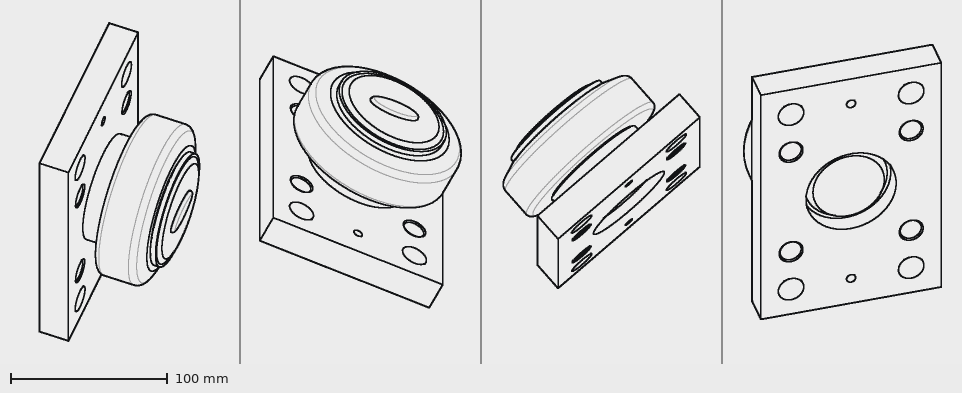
import cadquery as cq
import math

plate_thickness = 20.0
plate_width = 120.0
plate_height = 180.0

hole_y = 40.0
outer_hole_z = 70.0
inner_hole_z = 40.0
outer_hole_diameter = 17.0
tapped_hole_diameter = 14.0
tapped_hole_chamfer = 0.9
pin_hole_diameter = 6.0

bore_diameter = 60.0
bore_depth = 12.0
pin_diameter = 55.0
pin_chamfer_radial = 3.8
pin_chamfer_axial = 6.5
pin_face_depth = 5.5

neck_radius = 35.5
gap_radius = 34.2
gap_width = 0.7
roller_start = 35.1
roller_radius = 54.0
back_fillet = 3.0
front_round_start = 58.5
front_round = 4.9
roller_end = 66.6
front_cone_angle = 68.0

cap_gap_radius = 36.0
cap_start = 67.3
cap_radius = 38.0
cap_rim_end = 71.0
cap_lip_radius = 36.0
cap_face_radius = 31.9
cap_end = 72.9

button_end = 75.0
button_length = 33.8
button_width = 14.8
button_round = 1.8


def along_x(x):
    """Workplane facing +X at the given X; its local axes are Y and Z."""
    return cq.Workplane("YZ", origin=(x, 0, 0))


def make_plate():
    plate = along_x(0).rect(plate_width, plate_height).extrude(plate_thickness)
    outer_holes = (
        along_x(0)
        .rect(2 * hole_y, 2 * outer_hole_z, forConstruction=True)
        .vertices()
        .circle(outer_hole_diameter / 2)
        .extrude(plate_thickness)
    )
    pin_holes = (
        along_x(0)
        .pushPoints([(0, outer_hole_z), (0, -outer_hole_z)])
        .circle(pin_hole_diameter / 2)
        .extrude(plate_thickness)
    )
    return plate.cut(outer_holes).cut(pin_holes).cut(make_tapped_holes())


def make_tapped_holes():
    """Cutters for the four inner holes, chamfered at both plate faces."""
    radius = tapped_hole_diameter / 2
    mouth = radius + tapped_hole_chamfer
    cutter = (
        cq.Workplane("XY")
        .polyline([
            (0, 0),
            (0, mouth),
            (tapped_hole_chamfer, radius),
            (plate_thickness - tapped_hole_chamfer, radius),
            (plate_thickness, mouth),
            (plate_thickness, 0),
        ])
        .close()
        .revolve(360, (0, 0), (1, 0))
    )
    cutters = cq.Workplane("XY")
    for y in (-hole_y, hole_y):
        for z in (-inner_hole_z, inner_hole_z):
            cutters = cutters.add(cutter.translate((0, y, z)))
    return cutters.combine()


def make_roller():
    """Neck, roller and cap as one profile (X, radius) turned about the X axis."""
    angle = math.radians(front_cone_angle)
    round_center_radius = roller_radius - front_round
    cone_start = front_round_start + front_round * math.sin(angle)
    cone_start_radius = round_center_radius + front_round * math.cos(angle)
    cone_end_radius = cone_start_radius - (roller_end - cone_start) * math.tan(angle)
    round_middle = (
        front_round_start + front_round * math.sin(angle / 2),
        round_center_radius + front_round * math.cos(angle / 2),
    )
    return (
        cq.Workplane("XY")
        .moveTo(plate_thickness, 0)
        .lineTo(plate_thickness, neck_radius)
        .lineTo(roller_start - gap_width, neck_radius)
        .lineTo(roller_start - gap_width, gap_radius)
        .lineTo(roller_start, gap_radius)
        .lineTo(roller_start, roller_radius - back_fillet)
        .radiusArc((roller_start + back_fillet, roller_radius), back_fillet)
        .lineTo(front_round_start, roller_radius)
        .threePointArc(round_middle, (cone_start, cone_start_radius))
        .lineTo(roller_end, cone_end_radius)
        .lineTo(roller_end, cap_gap_radius)
        .lineTo(cap_start, cap_gap_radius)
        .lineTo(cap_start, cap_radius)
        .lineTo(cap_rim_end, cap_radius)
        .lineTo(cap_rim_end, cap_lip_radius)
        .lineTo(cap_end, cap_face_radius)
        .lineTo(cap_end, 0)
        .close()
        .revolve(360, (0, 0), (1, 0))
    )


def make_bore():
    """Ring cut into the plate back that leaves the chamfered pin end standing."""
    bore = along_x(0).circle(bore_diameter / 2).extrude(bore_depth)
    pin_radius = pin_diameter / 2
    pin = (
        cq.Workplane("XY")
        .moveTo(pin_face_depth, 0)
        .lineTo(pin_face_depth, pin_radius - pin_chamfer_radial)
        .lineTo(pin_face_depth + pin_chamfer_axial, pin_radius)
        .lineTo(plate_thickness, pin_radius)
        .lineTo(plate_thickness, 0)
        .close()
        .revolve(360, (0, 0), (1, 0))
    )
    return bore.cut(pin)


def make_button():
    return (
        along_x(cap_end)
        .ellipse(button_length / 2, button_width / 2)
        .extrude(button_end - cap_end)
        .faces(">X")
        .fillet(button_round)
    )


result = make_plate().union(make_roller()).union(make_button()).cut(make_bore())